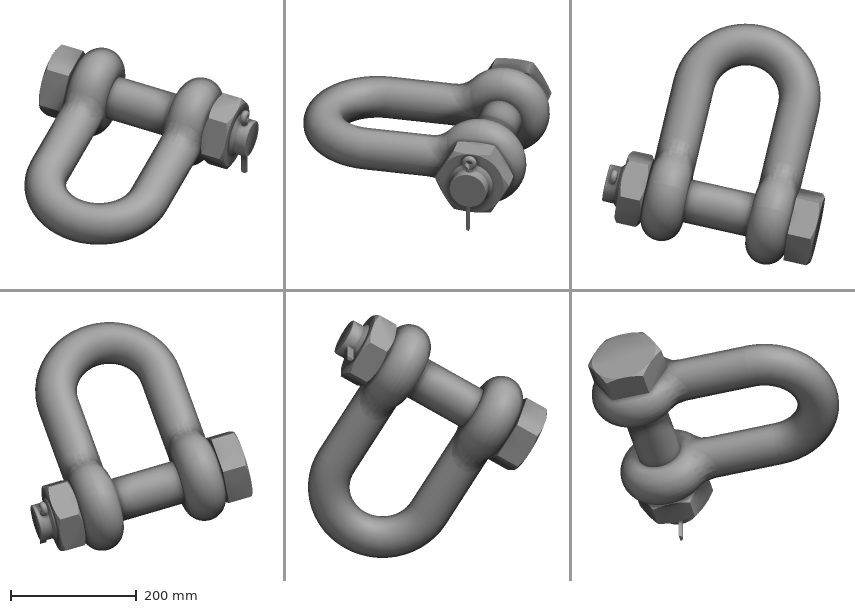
import cadquery as cq
import math


LENGTH = 378.5

BAR_DIA = 66.2
GAP = 104.5
EAR_RADIUS = 72.3
EAR_FILLET = 44.5

BOLT_LENGTH = 344.5
BOLT_DIA = 69.5
HEX_FLATS = 105.0
HEAD_THICKNESS = 41.5
NUT_THICKNESS = 40.0
HEX_CHAMFER_ANGLE = 30.0
THREAD_SHOW = 2.3
TAPER_LENGTH = 4.5
TIP_DIA = 59.8
TIP_CHAMFER = 1.0

WIRE_RADIUS = 5.3
EYE_INNER_RADIUS = 6.25
NECK_RADIUS = 7.5
EYE_Z = 44.5
COTTER_BOTTOM_Z = -76.5
COTTER_TIP_OFFSET = 12.0

bar_radius = BAR_DIA / 2
bolt_radius = BOLT_DIA / 2
tip_radius = TIP_DIA / 2
leg_x = (GAP + BAR_DIA) / 2
side_x = leg_x + bar_radius
bend_y = EAR_RADIUS + side_x - LENGTH
ear_ring_radius = EAR_RADIUS - bar_radius
head_x = -side_x - HEAD_THICKNESS
tip_x = head_x + BOLT_LENGTH
nut_end_x = side_x + NUT_THICKNESS
thread_end_x = nut_end_x + THREAD_SHOW
taper_end_x = thread_end_x + TAPER_LENGTH
cotter_x = tip_x - COTTER_TIP_OFFSET


def cylinder_x(radius, x_start, x_end):
    """Cylinder on the bolt axis between two X positions."""
    return cq.Workplane("YZ", origin=(x_start, 0, 0)).circle(radius).extrude(x_end - x_start)



def make_ear():
    """Thick disc with a fully rounded rim, centred on the origin."""
    rim = cq.Solid.makeTorus(ear_ring_radius, bar_radius, cq.Vector(0, 0, 0), cq.Vector(1, 0, 0))
    return cylinder_x(ear_ring_radius, -bar_radius, bar_radius).union(cq.Workplane(rim))


def make_arm():
    """Ear and straight leg, blended where the leg runs into the rim of the ear."""
    leg = cq.Workplane("XZ").circle(bar_radius).extrude(-bend_y)
    arm = make_ear().union(leg)
    ear_joint = arm.edges("%BSPLINE")
    return ear_joint.fillet(EAR_FILLET)


def make_bow():
    """U-shaped bar with an ear on each end and one hole through both ears."""
    bow = (
        cq.Workplane("XZ", origin=(leg_x, bend_y, 0))
        .circle(bar_radius)
        .revolve(180, (-leg_x, 3.8), (-leg_x, 0))
    )
    arm = make_arm()
    for x in (-leg_x, leg_x):
        bow = bow.union(arm.translate((x, 0, 0)))
    return bow.cut(cylinder_x(bolt_radius, -side_x, side_x))



def make_hexagon(x_start, x_end, chamfer_start, chamfer_end):
    """Hexagon with flats facing +Z and -Z, its corners turned down on the chosen faces."""
    corner_radius = HEX_FLATS / 2 / math.cos(math.pi / 6)
    face_radius = HEX_FLATS / 2
    depth = (corner_radius - face_radius) * math.tan(math.radians(HEX_CHAMFER_ANGLE))
    start_radius = face_radius if chamfer_start else corner_radius
    end_radius = face_radius if chamfer_end else corner_radius
    turned_blank = (
        cq.Workplane("XY")
        .moveTo(x_start, 0)
        .lineTo(x_start, start_radius)
        .lineTo(x_start + depth, corner_radius)
        .lineTo(x_end - depth, corner_radius)
        .lineTo(x_end, end_radius)
        .lineTo(x_end, 0)
        .close()
        .revolve(360, (0, 0), (1, 0))
    )
    prism = (
        cq.Workplane("YZ", origin=(x_start, 0, 0))
        .polygon(6, 2 * corner_radius)
        .extrude(x_end - x_start)
    )
    return prism.intersect(turned_blank)


def make_shank():
    """Plain shank that tapers beyond the nut to a smaller tip."""
    return (
        cq.Workplane("XY")
        .moveTo(-side_x, 0)
        .lineTo(-side_x, bolt_radius)
        .lineTo(thread_end_x, bolt_radius)
        .lineTo(taper_end_x, tip_radius)
        .lineTo(tip_x - TIP_CHAMFER, tip_radius)
        .lineTo(tip_x, tip_radius - TIP_CHAMFER)
        .lineTo(tip_x, 0)
        .close()
        .revolve(360, (0, 0), (1, 0))
    )


def make_cotter_half(leg_bottom_z):
    """Half-round wire on the -Y side: a straight leg, a neck bend and half of the eye."""
    centre_distance = NECK_RADIUS + EYE_INNER_RADIUS
    neck_angle = math.acos(NECK_RADIUS / centre_distance)
    neck_z = EYE_Z - centre_distance * math.sin(neck_angle)
    neck_mid = (
        NECK_RADIUS * (math.cos(neck_angle / 2) - 1),
        neck_z + NECK_RADIUS * math.sin(neck_angle / 2),
    )
    eye_start = (
        -EYE_INNER_RADIUS * math.cos(neck_angle),
        EYE_Z - EYE_INNER_RADIUS * math.sin(neck_angle),
    )
    path = (
        cq.Workplane("YZ", origin=(cotter_x, 0, 0))
        .moveTo(0, leg_bottom_z)
        .lineTo(0, neck_z)
        .threePointArc(neck_mid, eye_start)
        .threePointArc((-EYE_INNER_RADIUS, EYE_Z), (0, EYE_Z + EYE_INNER_RADIUS))
    )
    return (
        cq.Workplane("XY", origin=(cotter_x, 0, leg_bottom_z))
        .moveTo(-WIRE_RADIUS, 0)
        .threePointArc((0, -WIRE_RADIUS), (WIRE_RADIUS, 0))
        .close()
        .sweep(path)
    )


def make_bolt():
    """Headed bolt in one piece with its nut and cotter.

    One leg of the cotter reaches below the bolt, and the other ends inside it.
    """
    head = make_hexagon(head_x, -side_x, True, False)
    nut = make_hexagon(side_x, nut_end_x, True, True)
    long_half = make_cotter_half(COTTER_BOTTOM_Z)
    short_half = make_cotter_half(0).mirror("XZ")
    bolt = make_shank().union(head).union(nut).union(long_half)
    return bolt.union(short_half, clean=False)


bow = make_bow()
bolt = make_bolt()
result = cq.Compound.makeCompound([bow.solids().val(), bolt.solids().val()])